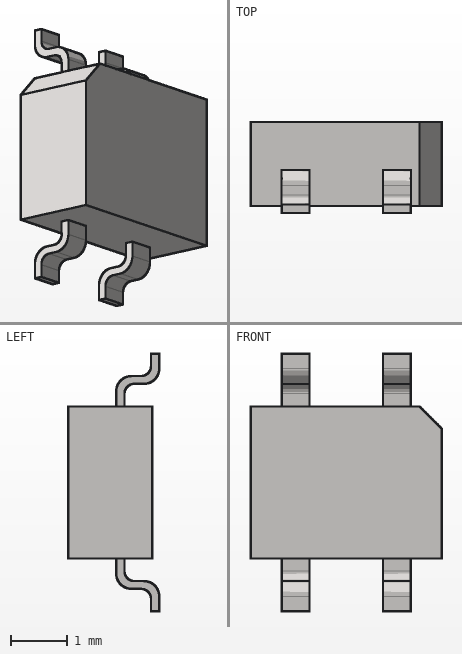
import cadquery as cq

body_width = 3.4
body_depth = 1.498
body_height = 2.7
corner_chamfer = 0.4

overall_height = 4.58
overall_depth = 1.62
lead_width = 0.5
lead_pitch = 1.8
lead_thickness = 0.15
lead_offset = 0.77
level_rise = 0.54
inner_radius = 0.175
outer_radius = 0.275

body_top = body_height / 2
lead_tip = overall_height / 2
foot_front = body_depth / 2 - overall_depth
foot_back = foot_front + lead_thickness
root_back = foot_front + lead_offset
root_front = root_back - lead_thickness

level_top = body_top + level_rise
level_bottom = lead_tip - level_rise


def make_body():
    """Block with one bevelled edge along Y at +X, +Z."""
    block = cq.Workplane("XY").box(body_width, body_depth, body_height)
    return block.edges(">X and >Z").chamfer(corner_chamfer)


def make_top_lead(center_x):
    """S-shaped strip rising from the top face and stepping towards -Y."""
    start_x = center_x - lead_width / 2
    return (
        cq.Workplane("YZ", origin=(start_x, 0, 0))
        .moveTo(root_back, body_top)
        .lineTo(root_back, level_top - outer_radius)
        .radiusArc((root_back - outer_radius, level_top), -outer_radius)
        .lineTo(foot_back + inner_radius, level_top)
        .radiusArc((foot_back, level_top + inner_radius), inner_radius)
        .lineTo(foot_back, lead_tip)
        .lineTo(foot_front, lead_tip)
        .lineTo(foot_front, level_bottom + outer_radius)
        .radiusArc((foot_front + outer_radius, level_bottom), -outer_radius)
        .lineTo(root_front - inner_radius, level_bottom)
        .radiusArc((root_front, level_bottom - inner_radius), inner_radius)
        .lineTo(root_front, body_top)
        .close()
        .extrude(lead_width)
    )


result = make_body()
for lead_x in (-lead_pitch / 2, lead_pitch / 2):
    top_lead = make_top_lead(lead_x)
    result = result.union(top_lead).union(top_lead.mirror("XY"))